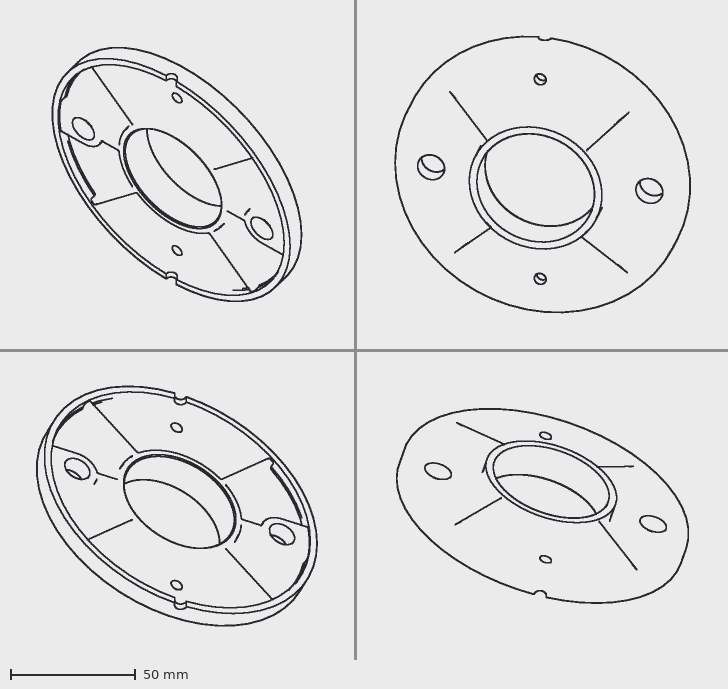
import cadquery as cq
import math

disc_radius = 60.0
disc_thickness = 8.0
overall_depth = 16.0
rim_inner_radius = 57.0
web_depth = 1.0
floor_depth = 4.0

hub_radius = 27.4
bore_radius = 24.2
bore_chamfer = 0.5

rib_width = 3.0
front_rib_angles = (0, 45, 135, 180, 225, 315)
back_rib_angles = (45, 135, 225, 315)
back_rib_step = 0.7
back_rib_slope = 15.0
back_rib_sink = 1.0
back_rib_edge_radius = 1.0

hole_offset = 45.0
pad_radius = 9.0
bolt_hole_radius = 5.5
pin_hole_radius = 2.4

notch_radius = 2.5

edge_radius = 0.5
rim_edge_radius = 0.6
corner_radius = 0.6
tolerance = 0.01


def cylinder(radius, y_start, y_end, x=0.0, z=0.0):
    """Round bar along Y."""
    plane = cq.Workplane("XZ", origin=(x, y_start, z))
    return plane.circle(radius).extrude(y_start - y_end)


def block(x_start, x_end, width, y_start, y_end):
    """Box spanning the given X and Y ranges, centred on Z = 0."""
    size = (x_end - x_start, y_end - y_start, width)
    return cq.Workplane("XY").box(*size, centered=(False, False, True)).translate((x_start, y_start, 0))


def turned(shape, angle):
    """Shape turned about the disc axis."""
    return shape.rotate((0, 0, 0), (0, 1, 0), angle)


def is_at_depth(edge, depth):
    box = edge.BoundingBox()
    return abs(box.ymin - depth) < tolerance and abs(box.ymax - depth) < tolerance


def is_on_cylinder(edge, radius):
    points = edge.positions([0, 0.5, 1])
    return all(abs(math.hypot(p.x, p.z) - radius) < tolerance for p in points)


def is_sloping(edge):
    box = edge.BoundingBox()
    return box.xlen > tolerance and box.ylen > tolerance


def make_pockets():
    """Six pockets left between the ring, the front ribs and the bolt pads."""
    pockets = cylinder(rim_inner_radius, web_depth, floor_depth)
    pockets = pockets.cut(cylinder(hub_radius, web_depth, floor_depth))
    rib = block(bore_radius, disc_radius, rib_width, web_depth, floor_depth)
    for angle in front_rib_angles:
        pockets = pockets.cut(turned(rib, angle))
    pad = cylinder(pad_radius, web_depth, floor_depth, x=hole_offset)
    pad = pad.union(block(hole_offset, disc_radius, 2 * pad_radius, web_depth, floor_depth))
    for angle in (0, 180):
        pockets = pockets.cut(turned(pad, angle))

    def is_inner_corner(edge):
        radius = math.hypot(edge.Center().x, edge.Center().z)
        is_pad_tangent = abs(abs(edge.Center().z) - pad_radius) < tolerance
        return radius < rim_inner_radius - tolerance and not is_pad_tangent

    corners = [edge for edge in pockets.edges("|Y").vals() if is_inner_corner(edge)]
    return pockets.newObject(corners).fillet(corner_radius)


def make_back_rib():
    """Gusset along +X sloping from the hub down to the disc, with its long top edges rounded."""
    slope = math.tan(math.radians(back_rib_slope))
    rise = overall_depth - back_rib_step - disc_thickness
    foot = hub_radius + rise / slope
    root = (hub_radius + bore_radius) / 2
    base = disc_thickness - back_rib_sink
    root_top = disc_thickness + (foot - root) * slope
    tip = foot + back_rib_sink / slope

    outline = [(root, base), (root, root_top), (tip, base)]
    rib = cq.Workplane("XY", origin=(0, 0, -rib_width / 2)).polyline(outline).close().extrude(rib_width)
    crest = [edge for edge in rib.edges().vals() if is_sloping(edge)]
    return rib.newObject(crest).fillet(back_rib_edge_radius)


def make_back():
    body = cylinder(disc_radius, 0, disc_thickness)
    body = body.edges(">Y").fillet(rim_edge_radius)
    body = body.union(cylinder(hub_radius, 0, overall_depth))
    rib = make_back_rib()
    for angle in back_rib_angles:
        body = body.union(turned(rib, angle))

    def is_joint(edge):
        is_hub_end = is_at_depth(edge, overall_depth)
        is_rib_to_hub = is_on_cylinder(edge, hub_radius) and not is_hub_end
        is_seam = edge.geomType() == "LINE" and abs(edge.Center().z) < tolerance
        is_base = is_at_depth(edge, disc_thickness) and not is_on_cylinder(edge, disc_radius - rim_edge_radius)
        return not is_hub_end and (is_base or is_rib_to_hub and not is_seam)

    joints = [edge for edge in body.edges().vals() if is_joint(edge)]
    return body.newObject(joints).fillet(edge_radius)


def hollow_front(body):
    """Sink the webs behind the rim and round the pockets between them."""
    body = body.cut(cylinder(rim_inner_radius, 0, web_depth)).cut(make_pockets())
    floor_edges = [edge for edge in body.edges().vals() if is_at_depth(edge, floor_depth)]
    body = body.newObject(floor_edges).fillet(edge_radius)
    web_edges = [
        edge for edge in body.edges().vals()
        if is_at_depth(edge, web_depth) and not is_on_cylinder(edge, rim_inner_radius)
    ]
    return body.newObject(web_edges).fillet(edge_radius)


def cut_bore(body):
    body = body.cut(cylinder(bore_radius, 0, overall_depth))
    mouth = [
        edge for edge in body.edges().vals()
        if is_at_depth(edge, web_depth) and is_on_cylinder(edge, bore_radius)
    ]
    return body.newObject(mouth).chamfer(bore_chamfer)


def cut_holes(body):
    for side in (-1, 1):
        body = body.cut(cylinder(bolt_hole_radius, 0, disc_thickness, x=side * hole_offset))
        body = body.cut(cylinder(pin_hole_radius, 0, disc_thickness, z=side * hole_offset))
    return body


def cut_notches(body):
    """Half-round notches through the rim at the top and bottom of the disc."""
    inner = rim_inner_radius - edge_radius
    notch = cq.Workplane("XY", origin=(0, 0, inner)).circle(notch_radius).extrude(disc_radius - inner)
    for angle in (0, 180):
        body = body.cut(turned(notch, angle))
    return body


result = cut_notches(cut_holes(cut_bore(hollow_front(make_back()))))